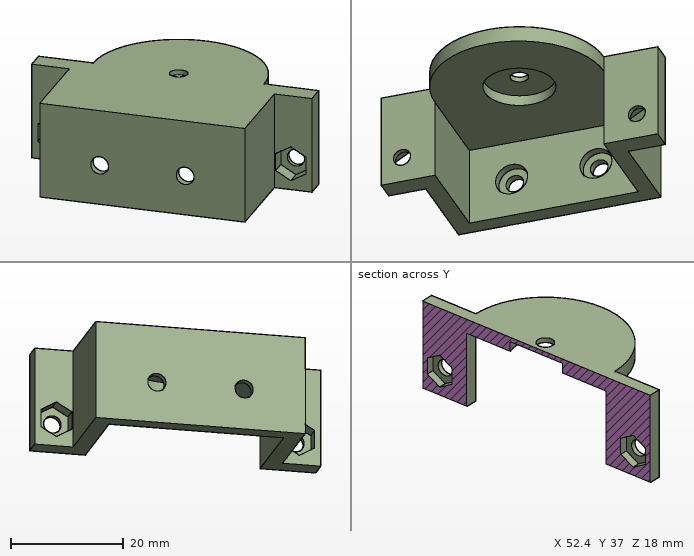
import cadquery as cq

overall_width = 52.4
overall_height = 18.0

block_width = 38.35
block_depth = 21.0
plate_thickness = 3.0
wall_thickness = 3.2

pivot_web_thickness = 1.0
wall_web_thickness = 1.5
nut_web_thickness = 1.0

tongue_diameter = 31.95
pivot_hole_diameter = 3.3
pivot_recess_diameter = 13.0

cavity_width = block_width - 2 * wall_thickness

block_hole_diameter = 3.3
block_recess_diameter = 6.0
block_hole_spacing = 16.0
block_hole_height = 7.5

ear_thickness = 4.0
ear_hole_diameter = 3.2
ear_hole_spacing = 44.5
ear_hole_height = 5.0
nut_corner_diameter = 6.5
nut_pocket_depth = ear_thickness - nut_web_thickness


def front_sketch_plane(y):
    """Vertical plane at the given Y whose normal points toward the rear (+Y)."""
    return cq.Workplane(cq.Plane(origin=(0, y, 0), xDir=(1, 0, 0), normal=(0, 1, 0)))


def rear_aligned_box(width, depth, height):
    """Box centred on X, standing on Z = 0, with its rear face on Y = 0."""
    box = cq.Workplane("XY").box(width, depth, height, centered=(True, False, False))
    return box.translate((0, -depth, 0))


def round_tongue():
    """Disc at the top of the block; its front half merges into the block."""
    underside = overall_height - plate_thickness
    return cq.Workplane("XY").workplane(offset=underside).circle(tongue_diameter / 2).extrude(plate_thickness)


def cavity():
    """Inside of the block, open at the rear and at the bottom."""
    return rear_aligned_box(
        cavity_width,
        block_depth - wall_thickness,
        overall_height - plate_thickness,
    )


def pivot_hole():
    """Vertical hole through the plate at the tongue centre."""
    return cq.Workplane("XY").circle(pivot_hole_diameter / 2).extrude(overall_height)


def pivot_recess():
    """Wide recess in the underside of the plate, around the pivot hole."""
    underside = overall_height - plate_thickness
    recess_depth = plate_thickness - pivot_web_thickness
    recess_plane = cq.Workplane("XY").workplane(offset=underside)
    return recess_plane.circle(pivot_recess_diameter / 2).extrude(recess_depth)


def mirrored_points(spacing, height):
    """Left and right points at one height, on a plane whose local Y points down."""
    return [(side * spacing / 2, -height) for side in (-1, 1)]


def block_holes():
    points = mirrored_points(block_hole_spacing, block_hole_height)
    face = front_sketch_plane(-block_depth)
    return face.pushPoints(points).circle(block_hole_diameter / 2).extrude(wall_thickness)


def block_recesses():
    """Counterbores on the inner face of the front wall."""
    points = mirrored_points(block_hole_spacing, block_hole_height)
    recess_plane = front_sketch_plane(wall_web_thickness - block_depth)
    recess_depth = wall_thickness - wall_web_thickness
    return recess_plane.pushPoints(points).circle(block_recess_diameter / 2).extrude(recess_depth)


def ear_holes():
    points = mirrored_points(ear_hole_spacing, ear_hole_height)
    face = front_sketch_plane(-ear_thickness)
    return face.pushPoints(points).circle(ear_hole_diameter / 2).extrude(ear_thickness)


def nut_pockets():
    """Hexagonal pockets in the front faces of the ears, corners pointing up and down."""
    hexagon = cq.Sketch().regularPolygon(nut_corner_diameter / 2, 6)
    points = mirrored_points(ear_hole_spacing, ear_hole_height)
    face = front_sketch_plane(-ear_thickness)
    return face.pushPoints(points).placeSketch(hexagon).extrude(nut_pocket_depth)


block = rear_aligned_box(block_width, block_depth, overall_height)
ears = rear_aligned_box(overall_width, ear_thickness, overall_height)

result = block.union(ears).cut(cavity()).union(round_tongue())
cutters = (
    pivot_hole(),
    pivot_recess(),
    block_holes(),
    block_recesses(),
    ear_holes(),
    nut_pockets(),
)
for cutter in cutters:
    result = result.cut(cutter)